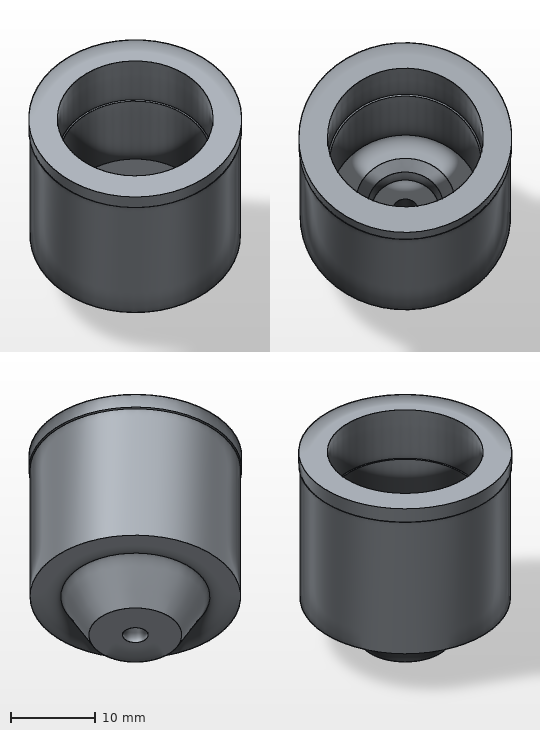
import cadquery as cq
import math

total_height = 26.1
flange_radius = 25.3 / 2

nose_tip_radius = 5.5
nose_base_radius = 8.85
nose_height = 5.6
body_radius = 12.5
flange_thickness = 2.0
flange_chamfer = flange_radius - body_radius

mouth_radius = 9.25
mouth_depth = 6.8
bore_radius = 9.0
wall_thickness = body_radius - bore_radius
bore_floor_z = nose_height + wall_thickness

funnel_top_radius = 5.9
funnel_bottom_radius = 4.5
funnel_slope = 30
cup_floor_radius = 4.05
cup_slope = 70
outlet_radius = 1.51


def cone_height(large_radius, small_radius, slope):
    """Height of a conical wall rising at the given slope between two radii."""
    return (large_radius - small_radius) * math.tan(math.radians(slope))


def revolve_about_z(profile):
    """Close a radius-height profile that starts and ends on the axis, and turn it about Z."""
    return profile.close().revolve(360, (0, 0), (0, 1))


def make_outside():
    """Plain body with a thin flange on top and a tapered nose below."""
    flange_z = total_height - flange_thickness
    profile = (
        cq.Workplane("XZ")
        .lineTo(nose_tip_radius, 0)
        .lineTo(nose_base_radius, nose_height)
        .lineTo(body_radius, nose_height)
        .lineTo(body_radius, flange_z)
        .lineTo(flange_radius, flange_z + flange_chamfer)
        .lineTo(flange_radius, total_height)
        .lineTo(0, total_height)
    )
    return revolve_about_z(profile)


def make_cavity():
    """Stepped bore, funnel, tapered cup and outlet, open at both ends."""
    ledge_z = total_height - mouth_depth
    funnel_bottom_z = bore_floor_z - cone_height(funnel_top_radius, funnel_bottom_radius, funnel_slope)
    cup_floor_z = funnel_bottom_z - cone_height(funnel_bottom_radius, cup_floor_radius, cup_slope)
    profile = (
        cq.Workplane("XZ")
        .lineTo(outlet_radius, 0)
        .lineTo(outlet_radius, cup_floor_z)
        .lineTo(cup_floor_radius, cup_floor_z)
        .lineTo(funnel_bottom_radius, funnel_bottom_z)
        .lineTo(funnel_top_radius, bore_floor_z)
        .lineTo(bore_radius, bore_floor_z)
        .lineTo(bore_radius, ledge_z)
        .lineTo(mouth_radius, ledge_z)
        .lineTo(mouth_radius, total_height)
        .lineTo(0, total_height)
    )
    return revolve_about_z(profile)


result = make_outside().cut(make_cavity())